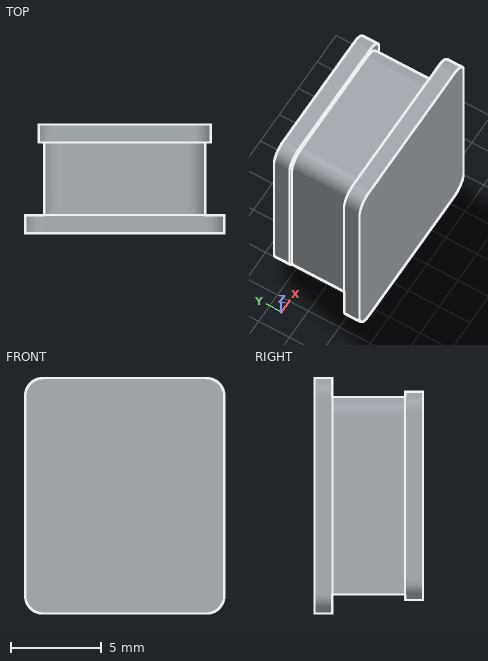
import cadquery as cq

front_width = 11.0
depth = 6.0
front_height = 13.0

plate_thickness = 1.0
corner_radius = 1.0

flange_width = 9.5
flange_height = 11.5
flange_overhang = 0.3
core_width = flange_width - 2 * flange_overhang
core_height = flange_height - 2 * flange_overhang


def rounded_block(width, height, y_start, y_end, rounded_edges="|Y"):
    """Block centred on X and Z, with the selected edges along Y rounded."""
    return (
        cq.Workplane("XY")
        .box(width, y_end - y_start, height)
        .edges(rounded_edges)
        .fillet(corner_radius)
        .translate((0, (y_start + y_end) / 2, 0))
    )


front_face = -depth / 2
rear_face = depth / 2

front_plate = rounded_block(front_width, front_height, front_face, front_face + plate_thickness)
core = rounded_block(core_width, core_height, front_face, rear_face, "|Y and >Z")
rear_flange = rounded_block(flange_width, flange_height, rear_face - plate_thickness, rear_face)

result = front_plate.union(core).union(rear_flange)